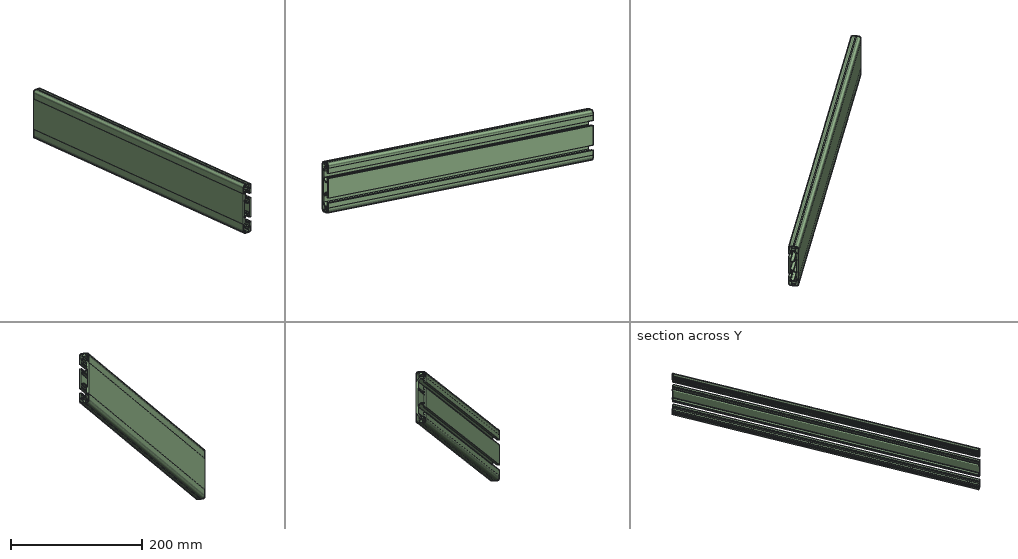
import cadquery as cq
import math

length = 500.0
depth = 16.0
height = 80.0
corner_radius = 4.5

end_wall = 1.2
back_wall = 3.0
front_wall = 3.0

slot_center = 19.5
slot_mouth = 8.0
slot_width = 20.5
slot_flat = 9.5
slot_floor_y = -4.0
slot_shoulder_y = -0.5
lip_thickness = 4.0
lip_width = 2.5

center_half_height = 8.0
center_shoulder_y = 0.0
center_front_half_height = 13.5

end_radius = corner_radius - end_wall
end_bottom_back = 31.5
end_bottom_front = 25.0
jaw_top = 32.0
jaw_half_width = 3.5
jaw_undercut = 1.5
tooth_tip = 35.0
tooth_land = 1.0
tooth_root_half_width = 1.0

back = depth / 2
front = -depth / 2
hollow_back = back - end_wall
hollow_front = front + end_wall
hollow_top = height / 2 - end_wall
corner_cut = end_radius * (1 - math.cos(math.radians(45)))


def extrude(outline):
    """Close a Y-Z outline and extrude it over the full length."""
    return outline.close().extrude(length / 2, both=True)


def section():
    return cq.Workplane("YZ")


def make_body():
    bar = cq.Workplane("XY").box(length, depth, height)
    return bar.edges("|X").fillet(corner_radius)


def make_center_chamber():
    chamber_back = back - back_wall
    chamber_front = front + front_wall
    upper = [
        (chamber_back, center_half_height),
        (center_shoulder_y, center_half_height),
        (chamber_front, center_front_half_height),
    ]
    lower = [(y, -z) for y, z in reversed(upper)]
    return extrude(section().polyline(upper + lower))


def make_slot():
    """T-slot with lips at its mouth and sloping shoulders down to its floor."""
    lip_y = back - lip_thickness
    mouth = slot_mouth / 2
    upper = [
        (back, mouth),
        (lip_y, mouth),
        (lip_y, mouth + lip_width),
        (back - back_wall, mouth + lip_width),
        (back - back_wall, slot_width / 2),
        (slot_shoulder_y, slot_width / 2),
        (slot_floor_y, slot_flat / 2),
    ]
    lower = [(y, -z) for y, z in reversed(upper)]
    return extrude(section().polyline(upper + lower)).translate((0, 0, slot_center))


def make_end_hollow():
    """Hollow inside the rounded end, narrowed by the hanging tooth and the jaw facing it."""
    jaw_front_neck_y = jaw_undercut - jaw_half_width
    tooth_base = tooth_tip + tooth_land
    outline = (
        section()
        .moveTo(hollow_back, end_bottom_back)
        .lineTo(hollow_back, hollow_top - end_radius)
        .threePointArc(
            (hollow_back - corner_cut, hollow_top - corner_cut),
            (hollow_back - end_radius, hollow_top),
        )
        .lineTo(tooth_root_half_width, hollow_top)
        .lineTo(jaw_half_width, tooth_base)
        .lineTo(jaw_half_width, tooth_tip)
        .lineTo(-jaw_half_width, tooth_tip)
        .lineTo(-jaw_half_width, tooth_base)
        .lineTo(-tooth_root_half_width, hollow_top)
        .lineTo(hollow_front + end_radius, hollow_top)
        .threePointArc(
            (hollow_front + corner_cut, hollow_top - corner_cut),
            (hollow_front, hollow_top - end_radius),
        )
        .lineTo(hollow_front, end_bottom_front)
        .lineTo(jaw_front_neck_y, end_bottom_back)
        .lineTo(-jaw_half_width, jaw_top)
        .lineTo(jaw_half_width, jaw_top)
        .lineTo(jaw_half_width, end_bottom_back)
    )
    return extrude(outline)


result = make_body().cut(make_center_chamber())
for cutter in (make_slot(), make_end_hollow()):
    result = result.cut(cutter).cut(cutter.mirror("XY"))